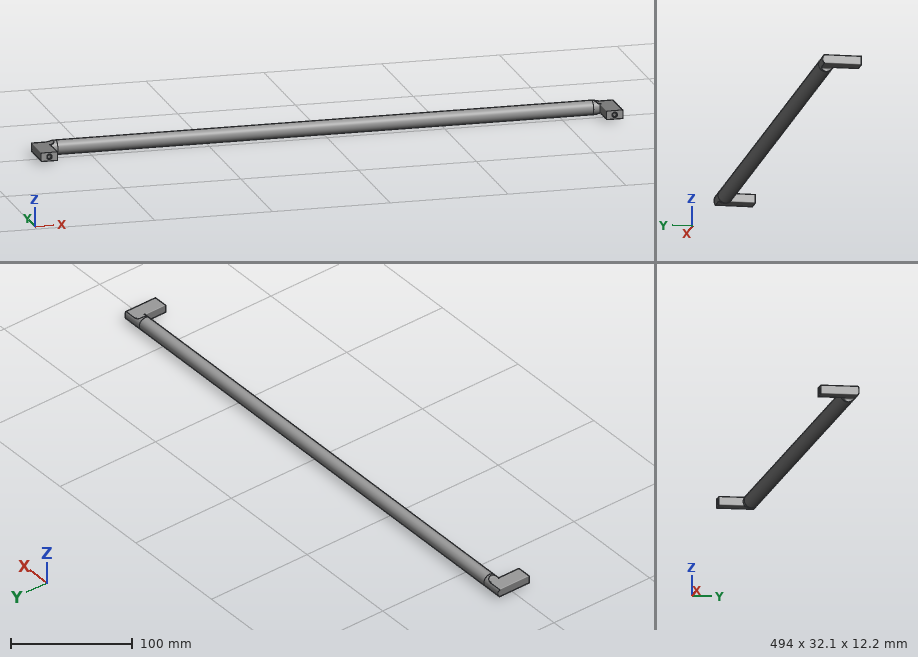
import cadquery as cq
import math

overall_length = 494.0
overall_depth = 32.1
rod_diameter = 12.2

bracket_thickness = 7.4
leg_width = 14.0
flat_length = 17.8
rod_start = 19.5
edge_round = 0.6
rear_round = 1.5
flat_end_round = 1.0
screw_hole_diameter = 3.3
screw_hole_rim_diameter = 4.6
screw_hole_depth = 12.0

rod_radius = rod_diameter / 2
half_length = overall_length / 2
leg_reach = overall_depth - rod_radius
rod_length = overall_length - 2 * rod_start
half_thickness = bracket_thickness / 2
flat_depth = rod_radius - half_thickness
flat_half_width = math.sqrt(rod_radius**2 - half_thickness**2)
screw_hole_chamfer = (screw_hole_rim_diameter - screw_hole_diameter) / 2


def round_bar(start_x, length):
    """Round bar along X, starting at start_x."""
    cross_section = cq.Plane(origin=(start_x, 0, 0), xDir=(0, 0, 1), normal=(1, 0, 0))
    return cq.Workplane(cross_section).circle(rod_radius).extrude(length)


def make_rod():
    return round_bar(-rod_length / 2, rod_length)


def make_flat_cutter():
    """Stock above the upper flat, ending in plan as a half round with a rounded lower edge."""
    round_center_x = flat_length - flat_half_width
    cutter = cq.Workplane("XY", origin=(-half_length, 0, half_thickness))
    straight = cutter.rect(2 * round_center_x, 2 * rod_radius).extrude(flat_depth)
    round_end = (
        cutter.center(round_center_x, 0)
        .circle(flat_half_width)
        .extrude(flat_depth)
        .faces("<Z")
        .edges()
        .fillet(flat_end_round)
    )
    return straight.union(round_end)


def make_arm():
    """Round bar flattened on top and bottom, left full round next to the rod."""
    upper_cutter = make_flat_cutter()
    return round_bar(-half_length, rod_start).cut(upper_cutter).cut(upper_cutter.mirror("XY"))


def make_leg():
    """Flat leg from the arm axis toward -Y."""
    return (
        cq.Workplane("XY", origin=(-half_length, -leg_reach, 0))
        .box(leg_width, leg_reach, bracket_thickness, centered=(False, False, True))
        .edges("|Y and >X")
        .fillet(edge_round)
    )


def make_screw_hole():
    """Blind hole in the foot of the leg, with a chamfered rim."""
    foot = cq.Workplane("XZ", origin=(-half_length + leg_width / 2, -leg_reach, 0))
    bore = foot.circle(screw_hole_diameter / 2).extrude(-screw_hole_depth)
    rim = foot.circle(screw_hole_rim_diameter / 2).extrude(-screw_hole_chamfer, taper=45)
    return bore.union(rim)


def make_corner_envelope():
    """Block around the bracket whose outer rear corner is rounded in plan."""
    return (
        cq.Workplane("XY", origin=(-half_length, -leg_reach, 0))
        .box(rod_start, overall_depth, rod_diameter, centered=(False, False, True))
        .edges("|Z and <X and >Y")
        .fillet(rear_round)
    )


def make_left_bracket():
    """Arm and leg in one piece, with the long outer edges and the rear corner rounded."""
    body = make_arm().union(make_leg())
    rounded_body = body.faces("<X").edges("|Y").fillet(edge_round)
    return rounded_body.intersect(make_corner_envelope()).cut(make_screw_hole())


rod = make_rod()
left_bracket = make_left_bracket()
right_bracket = left_bracket.mirror("YZ")

result = cq.Compound.makeCompound(
    [rod.val(), left_bracket.solids().val(), right_bracket.solids().val()]
)